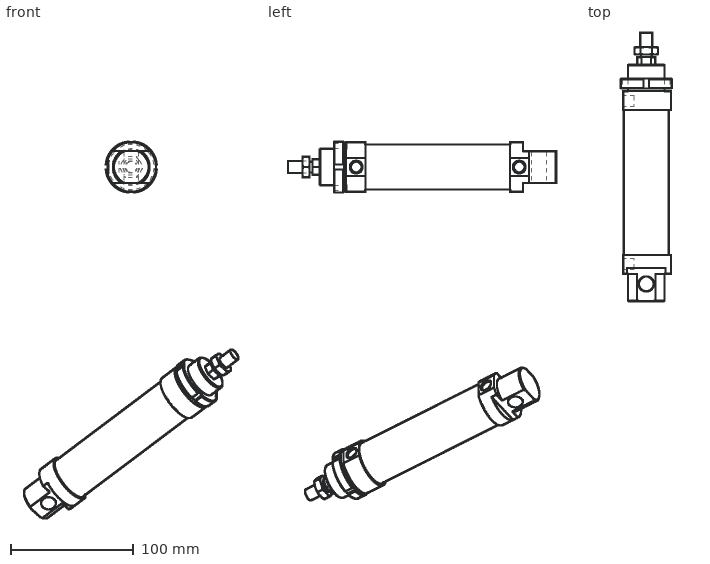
import cadquery as cq
import math

total_length = 219.0

lug_length = 22.3
cap_length = 15.5
rear_step_position = 27.2
front_cap_face = 171.5
neck_face = 193.2
hex_face = 199.0

lug_diameter = 30.0
lug_flat_width = 26.0
cap_diameter = 40.5
port_flat_offset = 18.8
tube_diameter = 37.0
end_chamfer = 0.9
rear_cap_end = lug_length + cap_length
front_cap_start = front_cap_face - cap_length
neck_diameter = lug_diameter

pivot_hole_diameter = 12.0
pivot_hole_position = 14.2
port_diameter = 8.8
port_mouth_diameter = 10.3
port_depth = 8.8
port_from_tube = 7.5
port_positions = [rear_cap_end - port_from_tube, front_cap_start + port_from_tube]

ring_start = 173.5
ring_thickness = 8.0
ring_diameter = 41.8
ring_chamfer = 0.7
slot_count = 4
slot_width = 4.4
slot_depth = 1.8

thread_diameter = 10.0
relief_diameter = 9.0
rod_hex_across_flats = 13.0

nut_start = 201.3
nut_thickness = 6.0
nut_across_flats = 16.9
nut_bevel_diameter = 17.5
nut_bevel_angle = 30


def cylinder(diameter, start, end):
    """Solid cylinder along +Y between two stations."""
    plane = cq.Workplane("XZ", origin=(0, start, 0))
    return plane.circle(diameter / 2).extrude(start - end)


def hexagon(across_flats, start, end):
    """Hexagonal prism along +Y with flats on top and bottom and corners at +X and -X."""
    corner_diameter = across_flats / math.cos(math.pi / 6)
    plane = cq.Workplane("XZ", origin=(0, start, 0))
    return plane.polygon(6, corner_diameter).extrude(start - end)


def flat_cutters(offset, start, end):
    """Pair of blocks that leave only the slab |Z| < offset between two stations."""
    size = cap_diameter
    centre = (start + end) / 2
    block = cq.Workplane("XY").box(2 * size, end - start, size)
    upper = block.translate((0, centre, offset + size / 2))
    lower = block.translate((0, centre, -offset - size / 2))
    return upper.union(lower)


def make_cap(start):
    """End cap with a flat on the -X side for the air port."""
    cap = cylinder(cap_diameter, start, start + cap_length)
    slab = cq.Workplane("XY").box(cap_diameter, cap_length, cap_diameter)
    slab_centre = cap_diameter / 2 - port_flat_offset
    return cap.intersect(slab.translate((slab_centre, start + cap_length / 2, 0)))


def port_cutter(position):
    """Blind port drilled from the cap flat, with a 45 degree countersink at its mouth."""
    mouth_depth = (port_mouth_diameter - port_diameter) / 2
    profile = [
        (0, 0),
        (port_mouth_diameter / 2, 0),
        (port_diameter / 2, mouth_depth),
        (port_diameter / 2, port_depth),
        (0, port_depth),
    ]
    cutter = cq.Workplane("XY").polyline(profile).close().revolve(360, (0, 0), (0, 1))
    cutter = cutter.rotate((0, 0, 0), (0, 0, 1), -90)
    return cutter.translate((-port_flat_offset, position, 0))


def make_housing():
    """Tube with both end caps, the threaded neck and the pivot lug as one solid."""
    lug = cylinder(lug_diameter, 0, lug_length).faces("<Y").chamfer(end_chamfer)
    neck = cylinder(neck_diameter, front_cap_face, neck_face).faces(">Y").chamfer(end_chamfer)
    tube = cylinder(tube_diameter, rear_cap_end, front_cap_start)
    body = lug.union(make_cap(lug_length)).union(tube).union(make_cap(front_cap_start)).union(neck)
    body = body.cut(flat_cutters(lug_flat_width / 2, 0, rear_step_position))
    pivot_hole = cq.Workplane("XY").center(0, pivot_hole_position)
    body = body.cut(pivot_hole.circle(pivot_hole_diameter / 2).extrude(lug_diameter, both=True))
    for position in port_positions:
        body = body.cut(port_cutter(position))
    return body


def make_ring_nut():
    """Round nut with evenly spaced spanner slots in its rim."""
    ring_end = ring_start + ring_thickness
    ring = cylinder(ring_diameter, ring_start, ring_end).faces("<Y or >Y").chamfer(ring_chamfer)
    ring = ring.cut(cylinder(neck_diameter, ring_start, ring_end))
    slot = cq.Workplane("XY").box(2 * slot_depth, ring_thickness, slot_width)
    slot = slot.translate((ring_diameter / 2, ring_start + ring_thickness / 2, 0))
    for index in range(slot_count):
        ring = ring.cut(slot.rotate((0, 0, 0), (0, 1, 0), index * 360 / slot_count))
    return ring


def make_rod():
    """Rod end seated on the neck face: hexagon, thread relief and thread."""
    rod = hexagon(rod_hex_across_flats, neck_face, hex_face)
    rod = rod.union(cylinder(relief_diameter, hex_face, nut_start))
    return rod.union(cylinder(thread_diameter, nut_start, total_length))


def make_rod_nut():
    """Hexagon nut with its corners bevelled at both ends."""
    nut_end = nut_start + nut_thickness
    corner_radius = nut_across_flats / math.cos(math.pi / 6) / 2
    bevel_radius = nut_bevel_diameter / 2
    bevel_length = (corner_radius - bevel_radius) * math.tan(math.radians(nut_bevel_angle))
    profile = [
        (0, nut_start),
        (bevel_radius, nut_start),
        (corner_radius, nut_start + bevel_length),
        (corner_radius, nut_end - bevel_length),
        (bevel_radius, nut_end),
        (0, nut_end),
    ]
    envelope = cq.Workplane("XY").polyline(profile).close().revolve(360, (0, 0), (0, 1))
    nut = hexagon(nut_across_flats, nut_start, nut_end).intersect(envelope)
    return nut.cut(cylinder(thread_diameter, nut_start, nut_end))


housing = make_housing()
ring_nut = make_ring_nut()
rod = make_rod()
rod_nut = make_rod_nut()

result = cq.Compound.makeCompound([housing.val(), ring_nut.val(), rod.val(), rod_nut.val()])